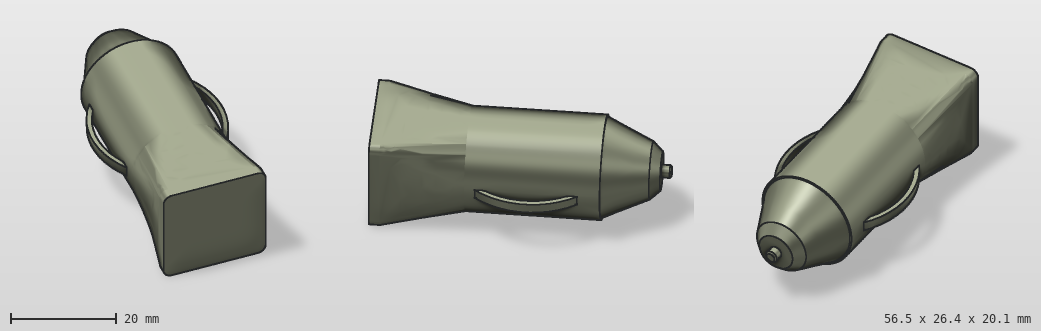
import cadquery as cq
import math

overall_length = 56.5
nose_start = 1.9
nose_end = 3.85
cone_end = 12.75
barrel_end = 38.5
block_start = 54.45

pin_radius = 1.25
pin_chamfer = 0.35
nose_radius = 3.75
cone_start_radius = 5.55
cone_end_radius = 9.65
barrel_diameter = 20.05
barrel_radius = barrel_diameter / 2

block_width = 20.75
block_height = barrel_diameter
block_corner_radius = 1.7
corner_half_angle = 6.0
corner_twist = 6.0

spring_span = 26.35
spring_center_x = 26.7
spring_radius = 16.5
spring_thickness = 1.0
spring_height = 2.0


def turned_body():
    """Pin, stepped nose, cone and barrel revolved about X."""
    profile = [
        (0, 0),
        (0, pin_radius - pin_chamfer),
        (pin_chamfer, pin_radius),
        (nose_start, pin_radius),
        (nose_start, nose_radius),
        (nose_end, cone_start_radius),
        (cone_end, cone_end_radius),
        (cone_end, barrel_radius),
        (barrel_end, barrel_radius),
        (barrel_end, 0),
    ]
    return cq.Workplane("XY").polyline(profile).close().revolve(360, (0, 0, 0), (1, 0, 0))


def arc_points(x, center_y, center_z, radius, middle, half_angle):
    """Start, middle and end of an arc in the plane at x, with angles in degrees from +Y."""
    points = []
    for degrees in (middle - half_angle, middle, middle + half_angle):
        angle = math.radians(degrees)
        y = center_y + radius * math.cos(angle)
        z = center_z + radius * math.sin(angle)
        points.append(cq.Vector(x, y, z))
    return points


def barrel_outline():
    """Barrel circle split into four corner arcs and four side arcs."""
    edges = []
    for diagonal in (45, 135, 225, 315):
        corner = diagonal + corner_twist
        for middle, half_angle in ((corner, corner_half_angle), (corner + 45, 45 - corner_half_angle)):
            points = arc_points(barrel_end, 0, 0, barrel_radius, middle, half_angle)
            edges.append(cq.Edge.makeThreePointArc(*points))
    return cq.Wire.assembleEdges(edges)


def block_outline():
    """Rounded rectangle with its edges in the same order as the barrel outline."""
    center_y = block_width / 2 - block_corner_radius
    center_z = block_height / 2 - block_corner_radius
    corners = [
        arc_points(block_start, side_y * center_y, side_z * center_z, block_corner_radius, middle, 45)
        for middle, side_y, side_z in ((45, 1, 1), (135, -1, 1), (225, -1, -1), (315, 1, -1))
    ]
    edges = []
    for index, corner in enumerate(corners):
        next_corner = corners[(index + 1) % len(corners)]
        edges.append(cq.Edge.makeThreePointArc(*corner))
        edges.append(cq.Edge.makeLine(corner[-1], next_corner[0]))
    return cq.Wire.assembleEdges(edges)


def handle():
    """Ruled transition from the round barrel to the block, then the block itself."""
    transition = cq.Solid.makeLoft([barrel_outline(), block_outline()], True)
    block_depth = cq.Vector(overall_length - block_start, 0, 0)
    block = cq.Solid.extrudeLinear(block_outline(), [], block_depth)
    return cq.Workplane(transition).union(cq.Workplane(block))


def side_spring(side):
    """Bowed strip on the +Y (side = 1) or -Y (side = -1) flank, rooted in the barrel."""
    center_y = spring_span / 2 - spring_radius
    ring = (
        cq.Workplane("XY")
        .center(spring_center_x, side * center_y)
        .circle(spring_radius)
        .circle(spring_radius - spring_thickness)
        .extrude(spring_height / 2, both=True)
    )
    root_depth = spring_thickness
    root_y = barrel_radius - root_depth
    bow_height = spring_span / 2 - root_y
    keep = cq.Workplane("XY").box(2 * spring_radius, bow_height, spring_height)
    return ring.intersect(keep.translate((spring_center_x, side * (root_y + bow_height / 2), 0)))


result = turned_body().union(handle())
for flank in (1, -1):
    result = result.union(side_spring(flank))